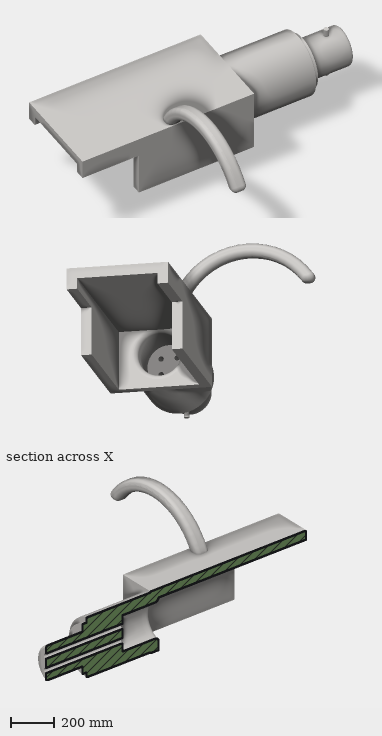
import cadquery as cq
import math

INCH = 25.4

HOUSING_WIDTH = 19 * INCH
HOUSING_HEIGHT = 13 * INCH
HOUSING_LENGTH = 36.5 * INCH
WALL = 2 * INCH
VISOR_LENGTH = 12 * INCH
VISOR_HEIGHT = 4 * INCH
HOUSING_TOP = HOUSING_HEIGHT / 2
CHANNEL_WIDTH = HOUSING_WIDTH - 2 * WALL
CHANNEL_CEILING = HOUSING_TOP - WALL
CHANNEL_END = HOUSING_LENGTH - WALL

BARREL_DIAMETER = HOUSING_HEIGHT
BARREL_LENGTH = 15 * INCH
COLLAR_DIAMETER = 11 * INCH
COLLAR_LENGTH = 1 * INCH
SPIGOT_DIAMETER = 8 * INCH
SPIGOT_LENGTH = 8.5 * INCH
SPIGOT_FILLET = 0.5 * INCH
SPIGOT_START = HOUSING_LENGTH + BARREL_LENGTH + COLLAR_LENGTH
SPIGOT_END = SPIGOT_START + SPIGOT_LENGTH

PIN_DIAMETER = 1 * INCH
PIN_LENGTH = COLLAR_DIAMETER
PIN_TO_TIP = 3.5 * INCH

SOCKET_DIAMETER = 8.1 * INCH
SOCKET_DEPTH = SPIGOT_LENGTH
SOCKET_MOUTH_DIAMETER = 10 * INCH
SOCKET_FILLET = (SOCKET_MOUTH_DIAMETER - SOCKET_DIAMETER) / 2

HOLE_DIAMETER = 1 * INCH
HOLE_SPACING = 3 * INCH

HANDLE_OUTER_RADIUS = 15 * INCH
HANDLE_INNER_RADIUS = 12.5 * INCH
HANDLE_WIDTH = 3 * INCH
HANDLE_FILLET = 1 * INCH
HANDLE_Y = 20 * INCH
HANDLE_RISE = 217.11
HANDLE_OVERHANG = 582.77
HANDLE_END_GAP = 14.5


def make_housing():
    """Channel-shaped housing whose side walls are cut short below the visor."""
    housing = cq.Workplane("XY").box(
        HOUSING_WIDTH, HOUSING_LENGTH, HOUSING_HEIGHT, centered=(True, False, True)
    )
    channel = cq.Workplane("XY").box(
        CHANNEL_WIDTH, CHANNEL_END, HOUSING_HEIGHT, centered=(True, False, False)
    ).translate((0, 0, CHANNEL_CEILING - HOUSING_HEIGHT))
    below_visor = cq.Workplane("XY").box(
        HOUSING_WIDTH, VISOR_LENGTH, HOUSING_HEIGHT, centered=(True, False, False)
    ).translate((0, 0, HOUSING_TOP - VISOR_HEIGHT - HOUSING_HEIGHT))
    return housing.cut(channel).cut(below_visor)


def cylinder_along_y(diameter, start, length, x=0, z=0):
    """Cylinder along +Y from Y = start."""
    return cq.Workplane(
        cq.Solid.makeCylinder(diameter / 2, length, cq.Vector(x, start, z), cq.Vector(0, 1, 0))
    )


def make_shaft():
    """Barrel, collar and round-edged spigot in line, with the cross pin."""
    barrel = cylinder_along_y(BARREL_DIAMETER, HOUSING_LENGTH, BARREL_LENGTH)
    collar = cylinder_along_y(COLLAR_DIAMETER, HOUSING_LENGTH + BARREL_LENGTH, COLLAR_LENGTH)
    spigot = cylinder_along_y(SPIGOT_DIAMETER, SPIGOT_START, SPIGOT_LENGTH)
    spigot = spigot.faces(">Y").edges().fillet(SPIGOT_FILLET)
    pin = cq.Workplane("XY").center(0, SPIGOT_END - PIN_TO_TIP).circle(PIN_DIAMETER / 2)
    pin = pin.extrude(PIN_LENGTH / 2, both=True)
    return barrel.union(collar).union(spigot).union(pin)


def make_socket():
    """Space of the socket, whose rounded mouth stops at the channel ceiling."""
    radius = SOCKET_DIAMETER / 2
    arc_offset = SOCKET_FILLET * (1 - math.sqrt(0.5))
    socket = (
        cq.Workplane("XY")
        .moveTo(0, CHANNEL_END)
        .lineTo(SOCKET_MOUTH_DIAMETER / 2, CHANNEL_END)
        .threePointArc(
            (radius + arc_offset, CHANNEL_END + arc_offset),
            (radius, CHANNEL_END + SOCKET_FILLET),
        )
        .lineTo(radius, CHANNEL_END + SOCKET_DEPTH)
        .lineTo(0, CHANNEL_END + SOCKET_DEPTH)
        .close()
        .revolve(360, (0, 0, 0), (0, 1, 0))
    )
    below_ceiling = cq.Workplane("XY").box(
        HOUSING_WIDTH, SPIGOT_END, HOUSING_HEIGHT, centered=(True, False, False)
    ).translate((0, 0, CHANNEL_CEILING - HOUSING_HEIGHT))
    return socket.intersect(below_ceiling)


def make_holes():
    """Four holes in a square around the shaft axis."""
    length = SPIGOT_END - CHANNEL_END
    holes = cq.Workplane("XY")
    offset = HOLE_SPACING / 2
    for x in (-offset, offset):
        for z in (-offset, offset):
            hole = cylinder_along_y(HOLE_DIAMETER, CHANNEL_END, length, x, z)
            holes = holes.union(hole)
    return holes


def make_handle():
    """Round-edged circular hook, cut level at its root and at its free end."""
    centre_z = HOUSING_TOP + HANDLE_RISE - HANDLE_OUTER_RADIUS
    root_height = HOUSING_TOP - centre_z
    end_height = root_height + HANDLE_END_GAP
    corner_reach = HANDLE_FILLET + math.sqrt(
        (HANDLE_OUTER_RADIUS - HANDLE_FILLET) ** 2 - (end_height + HANDLE_FILLET) ** 2
    )
    centre_x = HOUSING_WIDTH / 2 + HANDLE_OVERHANG - corner_reach

    def across(radius, height):
        return math.sqrt(radius**2 - height**2)

    bar = (
        cq.Workplane("XZ")
        .center(centre_x, centre_z)
        .moveTo(-across(HANDLE_OUTER_RADIUS, root_height), root_height)
        .threePointArc(
            (0, HANDLE_OUTER_RADIUS), (across(HANDLE_OUTER_RADIUS, end_height), end_height)
        )
        .lineTo(across(HANDLE_INNER_RADIUS, end_height), end_height)
        .threePointArc(
            (0, HANDLE_INNER_RADIUS), (-across(HANDLE_INNER_RADIUS, root_height), root_height)
        )
        .close()
        .extrude(HANDLE_WIDTH / 2, both=True)
        .translate((0, HANDLE_Y, 0))
    )
    root_edges = bar.faces("<Z").edges().vals()
    rounded = [e for e in bar.edges().vals() if not any(e.isSame(r) for r in root_edges)]
    return bar.newObject(rounded).fillet(HANDLE_FILLET)


body = make_housing().union(make_shaft()).cut(make_socket()).cut(make_holes())
result = body.union(make_handle())